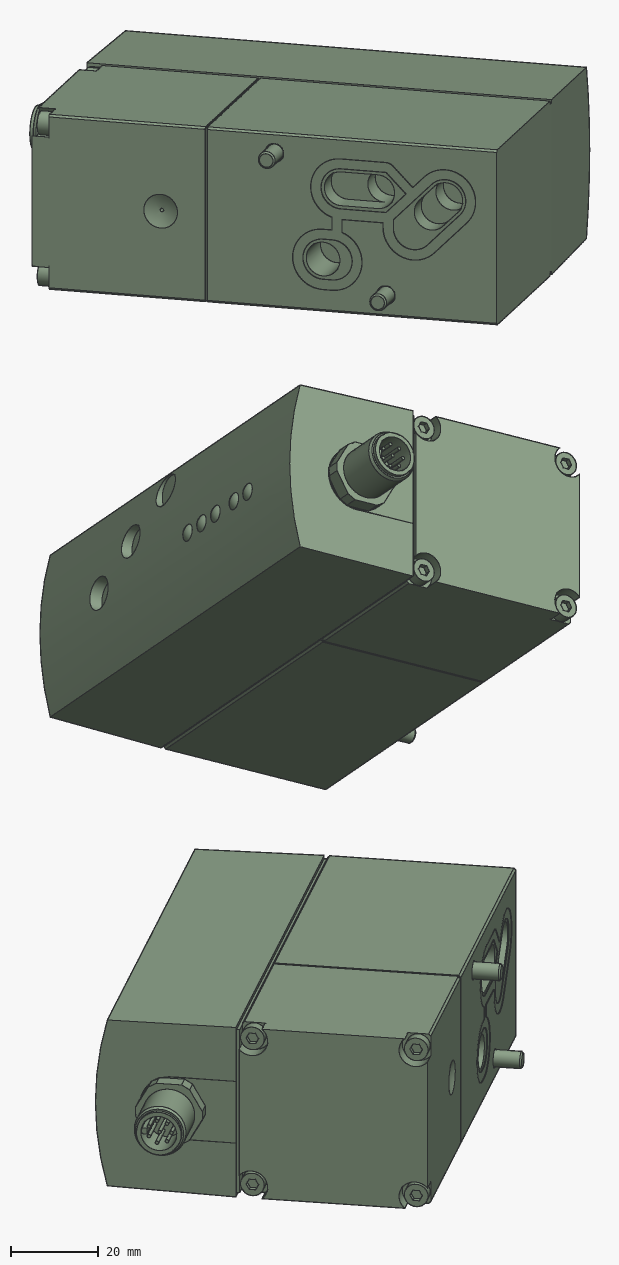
import cadquery as cq
import math


LENGTH = 110.5
WIDTH = 41.5
BLOCK_HEIGHT = 43.75
EDGE_CHAMFER = 0.5
GASKET_GAP = 0.75
GASKET_INSET = 0.8
COVER_BASE = BLOCK_HEIGHT + GASKET_GAP
COVER_SHOULDER = 74.3
COVER_CREST = 77.2
COVER_DRAFT = 0.85

SEAM_X = 41.4
SEAM_WIDTH = 0.5
SEAM_DEPTH = 0.3

LAMP_X = (18.9, 24.9, 33.0, 39.1, 45.2)
LAMP_DIAMETER = 4.0
LAMP_HEIGHT = 0.88
RECESS_CENTERS = ((57.6, 15.9), (70.85, 7.95), (84.1, 0.0))
RECESS_DIAMETER = 8.0
RECESS_FLOOR = 74.0

CONNECTOR_Y = 59.35
PAD_RADIUS = 7.55
PAD_THICKNESS = 2.0
NUT_LENGTH = 3.7
NUT_ACROSS_FLATS = 14.5
NUT_ACROSS_CORNERS = 15.5
BARREL_DIAMETER = 12.0
BARREL_END = 14.7
TAPER_DIAMETER = 11.2
TAPER_END = 15.5
TIP_DIAMETER = 10.4
TIP_END = 16.4
SOCKET_DIAMETER = 8.3
SOCKET_DEPTH = 9.0
CONTACT_DIAMETER = 0.8
CONTACT_LENGTH = 8.0
CONTACT_CIRCLE = 5.5
RING_CONTACTS = 7
KEY_WIDTH = 1.4
KEY_HEIGHT = 1.2

SCREW_INSET = 2.87
SCREW_POCKET_DIAMETER = 7.5
SCREW_POCKET_DEPTH = 4.0
SCREW_HEAD_DIAMETER = 5.5
SCREW_HEAD_TOP = 1.2
HEX_SOCKET_FLATS = 2.5
HEX_SOCKET_DEPTH = 1.3

STUD_CENTERS = ((57.6, 15.92), (84.1, -15.7))
STUD_DIAMETER = 4.0
STUD_LENGTH = 6.5
STUD_CHAMFER = 0.4
STUD_CLEARANCE_DIAMETER = 4.4
STUD_CLEARANCE_DEPTH = 0.5

VENT_X = 30.6
VENT_DIAMETER = 8.0
VENT_DISH_DEPTH = 1.0
VENT_HOLE_DIAMETER = 0.8
VENT_HOLE_DEPTH = 4.0

PORT_RADIUS = 4.75
SEAL_WIDTH = 2.4
SEAL_DEPTH = 0.2
POCKET_DEPTH = 0.4
BORE_DIAMETER = 8.0
BORE_DEPTH = 12.0
STEP_DEPTH = 6.0
SUPPLY_LEFT = (73.4, 8.6)
SUPPLY_RIGHT_X = 84.1
SUPPLY_BORE = (82.1, 8.6)
SLANT_TOP = (98.3, 8.0)
SLANT_BOTTOM = (90.6, 0.3)
SLANT_BORE_BOTTOM = (94.8, 4.5)
EXHAUST_LEFT = (69.1, -8.4)
EXHAUST_RIGHT = (71.3, -8.4)
BRIDGE_CORNER = (73.7, 1.4)


def box(x_range, y_range, z_range):
    """Box spanning the given (low, high) ranges."""
    size = [high - low for low, high in (x_range, y_range, z_range)]
    corner = (x_range[0], y_range[0], z_range[0])
    return cq.Workplane("XY").box(*size, centered=False).translate(corner)


def rod(center, axis, radius, length):
    """Cylinder starting at center and running along axis."""
    return cq.Workplane(cq.Solid.makeCylinder(radius, length, cq.Vector(*center), cq.Vector(*axis)))


def port_rod(center, radius, depth):
    """Cylinder sunk into the port face at an (X, Z) center."""
    return rod((center[0], 0, center[1]), (0, 1, 0), radius, depth)


def port_prism(points, depth):
    """Polygon of (X, Z) points sunk into the port face."""
    return cq.Workplane("XZ").polyline(points).close().extrude(-depth)


def port_slot(start, end, radius, depth):
    """Round-ended slot sunk into the port face between two (X, Z) centers."""
    run_x = end[0] - start[0]
    run_z = end[1] - start[1]
    length = math.hypot(run_x, run_z) + 2 * radius
    middle = ((start[0] + end[0]) / 2, (start[1] + end[1]) / 2)
    angle = math.degrees(math.atan2(run_z, run_x))
    return cq.Workplane("XZ").center(*middle).slot2D(length, 2 * radius, angle).extrude(-depth)


def make_block():
    half = WIDTH / 2
    block = box((0, LENGTH), (0, BLOCK_HEIGHT), (-half, half)).edges("|X").chamfer(EDGE_CHAMFER)
    inner_half = half - SEAM_DEPTH
    seam_range = (SEAM_X - SEAM_WIDTH / 2, SEAM_X + SEAM_WIDTH / 2)
    seam = box(seam_range, (0, BLOCK_HEIGHT), (-half, half))
    core = box(seam_range, (SEAM_DEPTH, BLOCK_HEIGHT), (-inner_half, inner_half))
    return block.cut(seam.cut(core))


def make_gasket():
    half = WIDTH / 2 - GASKET_INSET
    return box((GASKET_INSET, LENGTH), (BLOCK_HEIGHT, COVER_BASE), (-half, half))


def make_cover():
    """Drafted housing closed by a shallow arched top."""
    half = WIDTH / 2
    height = COVER_CREST - COVER_BASE
    base_plane = cq.Workplane("XZ", origin=(LENGTH / 2, COVER_BASE, 0))
    housing = base_plane.rect(LENGTH, WIDTH).extrude(-height, taper=COVER_DRAFT)
    arch = (
        cq.Workplane("YZ")
        .moveTo(COVER_BASE, -half)
        .lineTo(COVER_SHOULDER, -half)
        .threePointArc((COVER_CREST, 0), (COVER_SHOULDER, half))
        .lineTo(COVER_BASE, half)
        .close()
        .extrude(LENGTH)
    )
    return housing.intersect(arch)


def make_lamp(x):
    """Spherical cap standing on the cover crest."""
    radius = LAMP_DIAMETER / 2
    sphere_radius = (radius**2 + LAMP_HEIGHT**2) / (2 * LAMP_HEIGHT)
    center_y = COVER_CREST + LAMP_HEIGHT - sphere_radius
    return cq.Workplane("XY").sphere(sphere_radius).translate((x, center_y, 0))


def cut_cover_recesses(body):
    for x, z in RECESS_CENTERS:
        recess = rod((x, RECESS_FLOOR, z), (0, 1, 0), RECESS_DIAMETER / 2, COVER_CREST - RECESS_FLOOR)
        body = body.cut(recess)
    return body


def make_pad():
    """Flat U-shaped seat for the connector, open towards the block."""
    seat = rod((0, CONNECTOR_Y, 0), (1, 0, 0), PAD_RADIUS, PAD_THICKNESS)
    return seat.union(box((0, PAD_THICKNESS), (COVER_BASE, CONNECTOR_Y), (-PAD_RADIUS, PAD_RADIUS)))


def make_hexagon(across_flats, length, turn):
    """Hexagonal prism along -X on the connector axis, turned about that axis."""
    corner_circle = across_flats / math.cos(math.pi / 6)
    prism = cq.Workplane("YZ").polygon(6, corner_circle).extrude(-length)
    return prism.rotate((0, 0, 0), (1, 0, 0), turn).translate((0, CONNECTOR_Y, 0))


def make_connector():
    nut = make_hexagon(NUT_ACROSS_FLATS, NUT_LENGTH, 0)
    nut = nut.intersect(make_hexagon(NUT_ACROSS_CORNERS, NUT_LENGTH, 30))
    profile = [
        (0, 0),
        (0, BARREL_DIAMETER / 2),
        (-BARREL_END, BARREL_DIAMETER / 2),
        (-TAPER_END, TAPER_DIAMETER / 2),
        (-TAPER_END, TIP_DIAMETER / 2),
        (-TIP_END, TIP_DIAMETER / 2),
        (-TIP_END, 0),
    ]
    barrel = cq.Workplane("XY").polyline(profile).close().revolve(360, (0, 0, 0), (1, 0, 0))
    connector = nut.union(barrel.translate((0, CONNECTOR_Y, 0)))
    socket_start = (-TIP_END, CONNECTOR_Y, 0)
    connector = connector.cut(rod(socket_start, (1, 0, 0), SOCKET_DIAMETER / 2, SOCKET_DEPTH))

    socket_floor = SOCKET_DEPTH - TIP_END
    contacts = [(0, 0)]
    for index in range(RING_CONTACTS):
        angle = math.pi + index * 2 * math.pi / RING_CONTACTS
        contacts.append((CONTACT_CIRCLE / 2 * math.cos(angle), CONTACT_CIRCLE / 2 * math.sin(angle)))
    for y, z in contacts:
        start = (socket_floor, CONNECTOR_Y + y, z)
        connector = connector.union(rod(start, (-1, 0, 0), CONTACT_DIAMETER / 2, CONTACT_LENGTH))

    key_top = CONNECTOR_Y + (SOCKET_DIAMETER + TIP_DIAMETER) / 4
    key_bottom = CONNECTOR_Y + SOCKET_DIAMETER / 2 - KEY_HEIGHT
    key_x = (socket_floor - CONTACT_LENGTH, socket_floor)
    return connector.union(box(key_x, (key_bottom, key_top), (-KEY_WIDTH / 2, KEY_WIDTH / 2)))


def add_cap_screws(body):
    half = WIDTH / 2 - SCREW_INSET
    hex_circle = HEX_SOCKET_FLATS / math.cos(math.pi / 6)
    head_length = SCREW_POCKET_DEPTH - SCREW_HEAD_TOP
    for y in (SCREW_INSET, BLOCK_HEIGHT - SCREW_INSET):
        for z in (-half, half):
            pocket = rod((0, y, z), (1, 0, 0), SCREW_POCKET_DIAMETER / 2, SCREW_POCKET_DEPTH)
            head = rod((SCREW_HEAD_TOP, y, z), (1, 0, 0), SCREW_HEAD_DIAMETER / 2, head_length)
            hex_plane = cq.Workplane("YZ", origin=(SCREW_HEAD_TOP, y, z))
            head = head.cut(hex_plane.polygon(6, hex_circle).extrude(HEX_SOCKET_DEPTH))
            body = body.cut(pocket).union(head)
    return body


def add_studs(body):
    for center in STUD_CENTERS:
        body = body.cut(port_rod(center, STUD_CLEARANCE_DIAMETER / 2, STUD_CLEARANCE_DEPTH))
        root = (center[0], STUD_CLEARANCE_DEPTH, center[1])
        stud = rod(root, (0, -1, 0), STUD_DIAMETER / 2, STUD_LENGTH + STUD_CLEARANCE_DEPTH)
        body = body.union(stud.faces("<Y").chamfer(STUD_CHAMFER))
    return body


def cut_vent(body):
    """Spherical dish with a small hole at its middle."""
    radius = VENT_DIAMETER / 2
    sphere_radius = (radius**2 + VENT_DISH_DEPTH**2) / (2 * VENT_DISH_DEPTH)
    center_y = VENT_DISH_DEPTH - sphere_radius
    dish = cq.Workplane("XY").sphere(sphere_radius).translate((VENT_X, center_y, 0))
    return body.cut(dish).cut(port_rod((VENT_X, 0), VENT_HOLE_DIAMETER / 2, VENT_HOLE_DEPTH))


def supply_outline():
    """Slot with a round left end and a right end running to a point at 45 degrees."""
    left_x, middle_z = SUPPLY_LEFT
    shoulder_x = SUPPLY_RIGHT_X
    return (
        cq.Workplane("XZ")
        .moveTo(left_x, middle_z - PORT_RADIUS)
        .lineTo(shoulder_x, middle_z - PORT_RADIUS)
        .lineTo(shoulder_x + PORT_RADIUS, middle_z)
        .lineTo(shoulder_x, middle_z + PORT_RADIUS)
        .lineTo(left_x, middle_z + PORT_RADIUS)
        .threePointArc((left_x - PORT_RADIUS, middle_z), (left_x, middle_z - PORT_RADIUS))
        .close()
    )


def slant_outline():
    """45 degree slot whose lower end has a sharp corner on its left flank."""
    low_x, low_z = SLANT_BOTTOM
    top_x, top_z = SLANT_TOP
    flank = PORT_RADIUS / math.sqrt(2)
    corner_rise = PORT_RADIUS * math.tan(math.pi / 8)
    lower_arc_angle = -5 * math.pi / 8
    lower_arc_point = (
        low_x + PORT_RADIUS * math.cos(lower_arc_angle),
        low_z + PORT_RADIUS * math.sin(lower_arc_angle),
    )
    return (
        cq.Workplane("XZ")
        .moveTo(low_x - PORT_RADIUS, low_z)
        .lineTo(low_x - PORT_RADIUS, low_z + corner_rise)
        .lineTo(top_x - flank, top_z + flank)
        .threePointArc((top_x + flank, top_z + flank), (top_x + flank, top_z - flank))
        .lineTo(low_x + flank, low_z - flank)
        .threePointArc(lower_arc_point, (low_x - PORT_RADIUS, low_z))
        .close()
    )


def make_openings(depth):
    openings = supply_outline().extrude(-depth).union(slant_outline().extrude(-depth))
    return openings.union(port_slot(EXHAUST_LEFT, EXHAUST_RIGHT, PORT_RADIUS, depth))


def make_seal_track():
    """Shallow track of even width around the three openings, joined by a bridge."""
    corner_x, corner_z = BRIDGE_CORNER
    bridge = port_prism(
        [
            (corner_x - SEAL_WIDTH, EXHAUST_LEFT[1]),
            (corner_x, EXHAUST_LEFT[1]),
            (corner_x, corner_z),
            (SLANT_BOTTOM[0], corner_z),
            SLANT_TOP,
            (corner_x - SEAL_WIDTH, SUPPLY_LEFT[1]),
        ],
        SEAL_DEPTH,
    )
    track = supply_outline().offset2D(SEAL_WIDTH).extrude(-SEAL_DEPTH)
    track = track.union(slant_outline().offset2D(SEAL_WIDTH).extrude(-SEAL_DEPTH))
    track = track.union(port_slot(EXHAUST_LEFT, EXHAUST_RIGHT, PORT_RADIUS + SEAL_WIDTH, SEAL_DEPTH))
    return track.union(bridge)


def cut_ports(body):
    """Seal track, the three openings inside it, and their bores."""
    body = body.cut(make_seal_track()).cut(make_openings(POCKET_DEPTH))
    bore_radius = BORE_DIAMETER / 2
    for center in (SUPPLY_BORE, SLANT_TOP, EXHAUST_LEFT):
        body = body.cut(port_rod(center, bore_radius, BORE_DEPTH))
    for start, end in ((SUPPLY_LEFT, SUPPLY_BORE), (SLANT_BORE_BOTTOM, SLANT_TOP)):
        body = body.cut(port_slot(start, end, bore_radius, STEP_DEPTH))
    return body


def make_part():
    cover = make_cover().union(make_pad())
    for x in LAMP_X:
        cover = cover.union(make_lamp(x))
    cover = cut_cover_recesses(cover)
    block = cut_ports(make_block())
    block = cut_vent(add_studs(add_cap_screws(block)))
    return block.union(make_gasket()).union(cover).union(make_connector())


result = make_part()